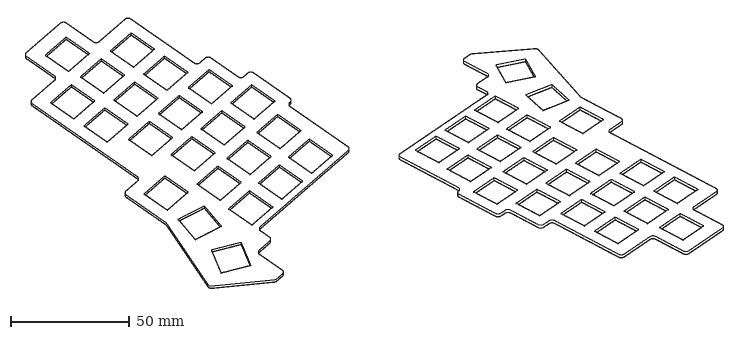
import cadquery as cq


thickness = 1.6
plate_length = 161.5
corner_radius = 1.6

key_side = 13.2

finger_columns = [
    (1, -1.1),
    (3, 0.0),
    (3, 0.0),
    (3, 7.1),
    (3, 13.0),
    (3, 8.2),
    (3, 7.1),
]

column_span = 113.9
pitch = column_span / (len(finger_columns) - 1)

thumb_keys = [
    (81.7, -29.7, 0),
    (103.2, -32.3, -15),
    (125.8, -37.6, -30),
]

side_margin = 13.5
tab_half_height = 12.5
tab_y = finger_columns[0][1]
left_x = -side_margin
body_left_x = pitch - side_margin
side_half_height = 31.2

ring_left_x = 44.9
ring_top_y = 38.0
middle_left_x = 63.8
middle_right_x = 87.7
middle_top_y = 44.0
inner_top_y = 40.5
inner_right_x = 123.7
shelf_right_x = 132.0
shelf_y = -18.4

right_x = left_x + plate_length
thumb_top_y = -28.3
thumb_left_x = 68.3
thumb_bottom_y = -41.8
slope_start_x = 92.7
tip_x = 129.4
tip_y = -55.5
thumb_right_low_y = -34.0

outline = [
    (left_x, tab_y - tab_half_height),
    (left_x, tab_y + tab_half_height),
    (body_left_x, tab_y + tab_half_height),
    (body_left_x, side_half_height),
    (ring_left_x, side_half_height),
    (ring_left_x, ring_top_y),
    (middle_left_x, ring_top_y),
    (middle_left_x, middle_top_y),
    (middle_right_x, middle_top_y),
    (middle_right_x, inner_top_y),
    (inner_right_x, inner_top_y),
    (inner_right_x, shelf_y),
    (shelf_right_x, shelf_y),
    (shelf_right_x, thumb_top_y),
    (right_x, thumb_top_y),
    (right_x, thumb_right_low_y),
    (tip_x, tip_y),
    (slope_start_x, thumb_bottom_y),
    (thumb_left_x, thumb_bottom_y),
    (thumb_left_x, -side_half_height),
    (body_left_x, -side_half_height),
    (body_left_x, tab_y - tab_half_height),
]


def make_plate():
    """Flat plate with every outline corner rounded."""
    blank = cq.Workplane("XY").polyline(outline).close().extrude(thickness)
    return blank.edges("|Z").fillet(corner_radius)


def key_opening(x, y, angle=0):
    """Cutter for one square switch opening, turned about its own centre."""
    square = cq.Workplane("XY").rect(key_side, key_side).extrude(thickness)
    return square.rotate((0, 0, 0), (0, 0, 1), angle).translate((x, y, 0))


result = make_plate()

for column, (rows, middle_y) in enumerate(finger_columns):
    for row in range(rows):
        row_y = middle_y + (row - (rows - 1) / 2) * pitch
        result = result.cut(key_opening(column * pitch, row_y))

for thumb_x, thumb_y, thumb_angle in thumb_keys:
    result = result.cut(key_opening(thumb_x, thumb_y, thumb_angle))